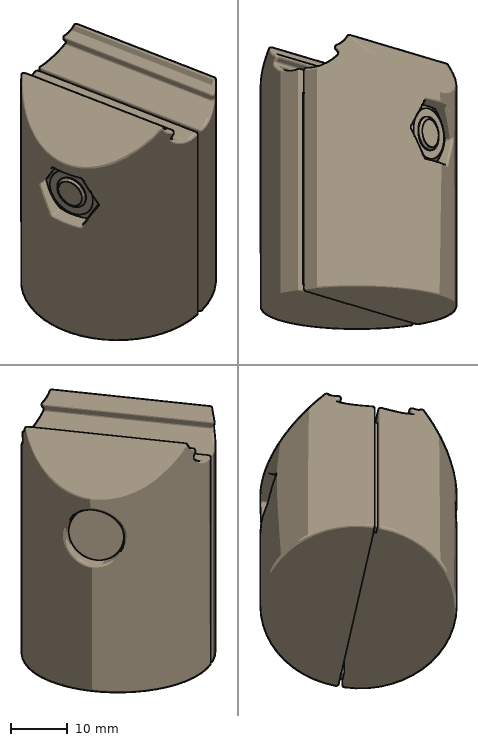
import cadquery as cq
import math

radius = 17.0
gap = 0.6
face_y = gap / 2
edge_radius = 0.5
flank_sum = 54.29

floor_radius = 6.5
floor_center = (2.0, 46.7)
shoulder_radius = 2.7
shoulder_center = (5.6, 46.45)
lip_y = 5.7
step_y = 6.8

rail_inner_x = 14.65
rail_width = 1.6
rail_bottom_z = 1.5
rail_top_z = 36.0
rail_edge_radius = 0.3

screw_z = 29.5
screw_diameter = 6.0
screw_tip_diameter = 4.92
screw_hole_diameter = 6.2
head_diameter = 10.0
head_height = 6.0
head_recess_diameter = 10.5
nut_flats = 10.0
nut_height = 6.0
nut_face_diameter = 9.0
nut_recess_flats = 10.5
nut_chamfer_angle = 30.0
seat_y = 9.3
tip_chamfer = (screw_diameter - screw_tip_diameter) / 2
screw_length = 25.0
rim_clearance = 1.0


def arc_point(center, arc_radius, y):
    """Point on the lower half of a profile circle."""
    return (y, center[1] - math.sqrt(arc_radius**2 - (y - center[0]) ** 2))


def corner_diameter(across_flats):
    return across_flats / math.cos(math.radians(30))


def screw_plane(y):
    """Plane across the screw axis, with its normal along +Y."""
    return cq.Workplane(cq.Plane(origin=(0, y, screw_z), xDir=(1, 0, 0), normal=(0, 1, 0)))


def rounded_half():
    """Half shell on the +Y side, with every edge rounded."""
    offset_sum = flank_sum - sum(shoulder_center)
    apex_y = shoulder_center[0] + offset_sum / 2 + math.sqrt(shoulder_radius**2 / 2 - offset_sum**2 / 4)
    apex = (apex_y, flank_sum - apex_y)
    profile = (
        cq.Workplane("YZ")
        .moveTo(face_y, 0)
        .lineTo(*arc_point(floor_center, floor_radius, face_y))
        .threePointArc(
            arc_point(floor_center, floor_radius, (face_y + step_y) / 2),
            arc_point(floor_center, floor_radius, step_y),
        )
        .lineTo(*arc_point(shoulder_center, shoulder_radius, lip_y))
        .threePointArc(arc_point(shoulder_center, shoulder_radius, (lip_y + apex_y) / 2), apex)
        .lineTo(flank_sum, 0)
        .close()
        .extrude(radius + gap, both=True)
    )
    cylinder = cq.Workplane("XY").center(0, face_y).circle(radius).extrude(flank_sum)
    return profile.intersect(cylinder).edges().fillet(edge_radius)


def recessed(half, recess):
    """Cut a head or nut recess and the screw hole, then round the recess rim."""
    half = half.cut(recess)
    recess_box = recess.val().BoundingBox()
    rim_region = cq.selectors.BoxSelector(
        (recess_box.xmin, seat_y + rim_clearance, recess_box.zmin),
        (recess_box.xmax, recess_box.ymax, recess_box.zmax),
    )
    half = half.edges(rim_region).edges("not |Y").fillet(edge_radius)
    return half.cut(screw_plane(0).circle(screw_hole_diameter / 2).extrude(seat_y + edge_radius))


def make_head_half():
    """Half shell on the +Y side, with a round recess for the screw head."""
    recess = screw_plane(seat_y).circle(head_recess_diameter / 2).extrude(radius)
    return recessed(rounded_half(), recess)


def make_nut_half():
    """Half shell on the -Y side, with a hexagonal nut recess and the two spacer rails."""
    recess = screw_plane(seat_y).polygon(6, corner_diameter(nut_recess_flats)).extrude(radius)
    recess = recess.edges("|Y").fillet(edge_radius)
    half = recessed(rounded_half(), recess).mirror("XZ")
    for side in (-1, 1):
        rail = (
            cq.Workplane("XY")
            .box(rail_width, gap, rail_top_z - rail_bottom_z)
            .edges("|Y")
            .fillet(rail_edge_radius)
            .translate((side * (rail_inner_x + rail_width / 2), 0, (rail_top_z + rail_bottom_z) / 2))
        )
        half = half.union(rail)
    return half


def make_screw():
    """Cylinder-head screw, its chamfered tip standing out of the nut."""
    shank = (
        screw_plane(seat_y)
        .circle(screw_diameter / 2)
        .extrude(-screw_length)
        .faces("<Y")
        .chamfer(tip_chamfer)
    )
    head = screw_plane(seat_y).circle(head_diameter / 2).extrude(head_height)
    return shank.union(head)


def make_nut():
    """Hexagon nut with its outer corners turned down to a cone."""
    nut = screw_plane(-seat_y).polygon(6, corner_diameter(nut_flats)).extrude(-nut_height)
    corner_step = (corner_diameter(nut_flats) - nut_face_diameter) / 2
    cone_height = corner_step * math.tan(math.radians(nut_chamfer_angle))
    envelope = (
        screw_plane(-seat_y)
        .circle(corner_diameter(nut_flats) / 2)
        .extrude(-nut_height)
        .faces("<Y")
        .chamfer(cone_height, corner_step)
    )
    bore = screw_plane(-seat_y).circle(screw_diameter / 2).extrude(-nut_height)
    return nut.intersect(envelope).cut(bore)


head_half = make_head_half()
nut_half = make_nut_half()
screw = make_screw()
nut = make_nut()

result = cq.Compound.makeCompound([head_half.val(), nut_half.val(), screw.val(), nut.val()])